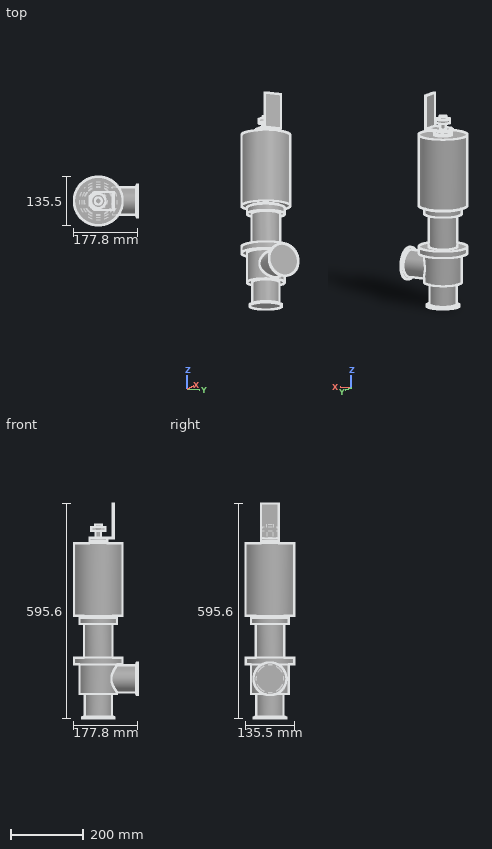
import cadquery as cq

ferrule_rim = 2.85
ferrule_top = 5.7
branch_level = 110.0
housing_bottom = 67.2
flange_bottom = 150.0
flange_top = 168.5
clamp_bottom = 261.5
clamp_top = 279.0
actuator_bottom = 284.5
actuator_top = 485.65
boss_top = 491.0
bracket_bottom = 498.0
bracket_top_face = 502.0
collar_bottom = 520.0
collar_top = 530.0
stem_top = 538.0
blade_top = 595.65

pipe_diameter = 76.3
ferrule_diameter = 91.0
housing_diameter = 105.0
flange_diameter = 135.0
neck_diameter = 80.0
clamp_diameter = 105.0
actuator_diameter = 135.5
boss_diameter = 50.0
stem_diameter = 16.0
collar_diameter = 40.0
stem_head_diameter = 19.5

branch_reach = 110.0
bracket_thickness = bracket_top_face - bracket_bottom
bracket_width = boss_diameter
bracket_back = 44.0
bracket_chamfer = 14.0


def cylinder(diameter, bottom, top):
    """Upright cylinder on the main axis between two levels."""
    return cq.Workplane("XY").workplane(offset=bottom).circle(diameter / 2).extrude(top - bottom)


def ferruled_pipe(length):
    """Solid pipe stub on the main axis, with its tapered ferrule at Z = 0."""
    pipe_radius = pipe_diameter / 2
    ferrule_radius = ferrule_diameter / 2
    return (
        cq.Workplane("XZ")
        .moveTo(0, 0)
        .lineTo(ferrule_radius, 0)
        .lineTo(ferrule_radius, ferrule_rim)
        .lineTo(pipe_radius, ferrule_top)
        .lineTo(pipe_radius, length)
        .lineTo(0, length)
        .close()
        .revolve(360, (0, 0), (0, 1))
    )


def make_valve():
    """Valve housing with inlet, side branch, neck, clamp and actuator."""
    inlet = ferruled_pipe(housing_bottom)
    branch = (
        ferruled_pipe(branch_reach)
        .rotate((0, 0, 0), (0, 1, 0), -90)
        .translate((branch_reach, 0, branch_level))
    )
    return (
        inlet
        .union(cylinder(housing_diameter, housing_bottom, flange_bottom))
        .union(branch)
        .union(cylinder(flange_diameter, flange_bottom, flange_top))
        .union(cylinder(neck_diameter, flange_top, actuator_bottom))
        .union(cylinder(clamp_diameter, clamp_bottom, clamp_top))
        .union(cylinder(actuator_diameter, actuator_bottom, actuator_top))
        .union(cylinder(boss_diameter, actuator_top, boss_top))
    )


def make_bracket():
    """L-shaped bracket: a foot with two cut corners and an upright blade."""
    front = -bracket_width / 2
    foot = (
        cq.Workplane("XY")
        .box(bracket_back - front, bracket_width, bracket_thickness, centered=(False, True, False))
        .translate((front, 0, bracket_bottom))
        .edges("|Z and <X")
        .chamfer(bracket_chamfer)
    )
    blade = (
        cq.Workplane("XY")
        .box(bracket_thickness, bracket_width, blade_top - bracket_bottom, centered=(False, True, False))
        .translate((bracket_back - bracket_thickness, 0, bracket_bottom))
    )
    return foot.union(blade)


def make_indicator():
    """Top fitting: base disc, bracket, and stem with collar and head."""
    return (
        cylinder(boss_diameter, boss_top, bracket_bottom)
        .union(make_bracket())
        .union(cylinder(stem_diameter, bracket_top_face, collar_bottom))
        .union(cylinder(collar_diameter, collar_bottom, collar_top))
        .union(cylinder(stem_head_diameter, collar_top, stem_top))
    )


valve = make_valve()
indicator = make_indicator()

result = cq.Compound.makeCompound([valve.val(), indicator.val()])